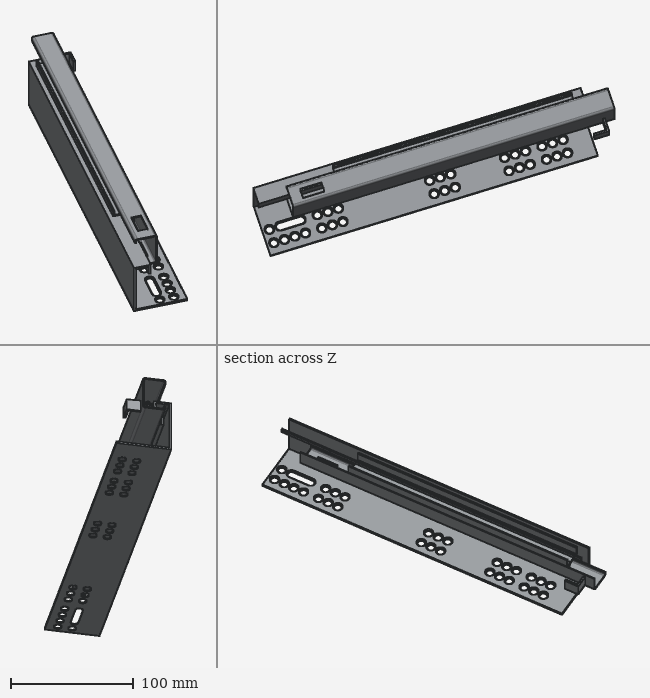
import cadquery as cq
import math


total_length = 300.0
cabinet_left = 20.0
cabinet_length = total_length - cabinet_left
cabinet_depth = 45.5
cabinet_height = 45.3
cabinet_sheet = 1.8
cabinet_flange = 14.5
cabinet_lip = 9.3

hole_diameter = 6.3
sink_diameter = 8.0
sink_depth = 1.0
hole_pitch = 9.0
first_hole_x = 43.0
group_modules = (0, 1, 3, 6, 7)
group_span = 224.0
hole_module = group_span / group_modules[-1]
holes_per_group = 3
back_row_y = cabinet_depth - 9.5
front_row_y = cabinet_depth - 21.5

drawer_length = 274.8
drawer_front = 9.0
drawer_back = 28.0
drawer_top = 53.5
drawer_bottom = 24.3
drawer_sheet = 1.2
drawer_lip = 4.0
drawer_bend = 2.0
rail_mid_z = (drawer_top + drawer_bottom) / 2

window_left = 246.5
window_length = 18.3
window_front = 15.0
window_width = 8.0

bracket_left = 8.5
bracket_length = 12.5
bracket_back = 39.5
bracket_bottom = 26.5
bracket_height = 10.0
bracket_sheet = 1.8

middle_left = 29.0
middle_length = 204.3
middle_sheet = 1.5
middle_back = 21.5
wall_half_height = 9.3
bead_y = 17.0
bead_half_height = 12.0
bead_front = 15.0
flange_half_height = 9.5
upper_lip_front = 3.5
upper_lip_top = 51.5
lower_lip_front = 4.5
lower_lip_top = 38.5


def sheet_outline(points, thickness):
    """Closed outline of a bent sheet: one face runs along points, the other lies to the right of it."""
    normals = []
    for (y0, z0), (y1, z1) in zip(points, points[1:]):
        run = math.hypot(y1 - y0, z1 - z0)
        normals.append(((z1 - z0) / run, (y0 - y1) / run))
    befores = normals[:1] + normals
    afters = normals + normals[-1:]
    other_face = []
    for (y, z), (ay, az), (by, bz) in zip(points, befores, afters):
        mitre = thickness / (1 + ay * by + az * bz)
        other_face.append((y + mitre * (ay + by), z + mitre * (az + bz)))
    return points + other_face[::-1]


def bent_sheet(points, thickness, left, length):
    """Bent sheet running along X from left."""
    outline = sheet_outline(points, thickness)
    return cq.Workplane("YZ", origin=(left, 0, 0)).polyline(outline).close().extrude(length)


def sink_cone(x, y):
    """Conical mouth of a hole, widening up to the top of the base."""
    start = cq.Vector(x, y, cabinet_sheet - sink_depth)
    return cq.Workplane(cq.Solid.makeCone(hole_diameter / 2, sink_diameter / 2, sink_depth, start))


def countersink(x, y):
    """Cutter for one countersunk hole in the base."""
    through = cq.Workplane("XY", origin=(x, y, 0)).circle(hole_diameter / 2).extrude(cabinet_sheet)
    return through.union(sink_cone(x, y))


def countersunk_slot(x0, x1, y):
    """Cutter for a slot with the section of the countersunk holes."""
    slot_length = x1 - x0
    slot_middle = ((x0 + x1) / 2, y, 0)
    through = cq.Workplane("XY", origin=slot_middle).rect(slot_length, hole_diameter).extrude(cabinet_sheet)
    mouth = (
        cq.Workplane("YZ", origin=(x0, y, 0))
        .moveTo(-hole_diameter / 2, cabinet_sheet - sink_depth)
        .lineTo(hole_diameter / 2, cabinet_sheet - sink_depth)
        .lineTo(sink_diameter / 2, cabinet_sheet)
        .lineTo(-sink_diameter / 2, cabinet_sheet)
        .close()
        .extrude(slot_length)
    )
    return through.union(mouth).union(countersink(x0, y)).union(countersink(x1, y))


def make_cabinet_rail():
    path = [
        (cabinet_depth, 0),
        (0, 0),
        (0, cabinet_height),
        (cabinet_flange, cabinet_height),
        (cabinet_flange, cabinet_height - cabinet_lip),
    ]
    rail = bent_sheet(path, cabinet_sheet, cabinet_left, cabinet_length)

    last_group = group_modules[-1]
    for module in group_modules:
        group_x = first_hole_x + module * hole_module
        for index in range(holes_per_group):
            x = group_x + index * hole_pitch
            rail = rail.cut(countersink(x, back_row_y))
            if module != last_group:
                rail = rail.cut(countersink(x, front_row_y))

    slot_left = first_hole_x + last_group * hole_module
    slot_right = slot_left + (holes_per_group - 1) * hole_pitch
    rail = rail.cut(countersunk_slot(slot_left, slot_right, front_row_y))
    for y in (back_row_y, front_row_y):
        rail = rail.cut(countersink(slot_right + hole_pitch, y))
    return rail


def make_drawer_rail():
    path = [
        (drawer_front, drawer_top - drawer_lip),
        (drawer_front, drawer_top),
        (drawer_back, drawer_top),
        (drawer_back, drawer_bottom),
        (drawer_front, drawer_bottom),
        (drawer_front, drawer_bottom + drawer_lip),
    ]
    rail = bent_sheet(path, drawer_sheet, 0, drawer_length)
    for inset, radius in ((0, drawer_bend), (drawer_sheet, drawer_bend - drawer_sheet)):
        for y in (drawer_front + inset, drawer_back - inset):
            for z in (drawer_bottom + inset, drawer_top - inset):
                corner = cq.selectors.NearestToPointSelector((drawer_length / 2, y, z))
                rail = rail.edges("|X").edges(corner).fillet(radius)

    window = (
        cq.Workplane("XY", origin=(window_left, window_front, drawer_bottom))
        .rect(window_length, window_width, centered=False)
        .extrude(drawer_top - drawer_bottom)
    )
    return rail.cut(window).union(make_bracket())


def make_bracket():
    path = [
        (bracket_left, drawer_back),
        (bracket_left, bracket_back),
        (bracket_left + bracket_length, bracket_back),
    ]
    outline = sheet_outline(path, bracket_sheet)
    return cq.Workplane("XY", origin=(0, 0, bracket_bottom)).polyline(outline).close().extrude(bracket_height)


def make_middle_rail():
    flange_top = rail_mid_z + flange_half_height
    flange_bottom = rail_mid_z - flange_half_height
    path = [
        (upper_lip_front + middle_sheet, upper_lip_top),
        (upper_lip_front + middle_sheet, flange_top),
        (bead_front, flange_top),
        (bead_y, rail_mid_z + bead_half_height),
        (middle_back, rail_mid_z + wall_half_height),
        (middle_back, rail_mid_z - wall_half_height),
        (bead_y, rail_mid_z - bead_half_height),
        (bead_front, flange_bottom),
        (lower_lip_front, flange_bottom),
        (lower_lip_front, lower_lip_top),
    ]
    return bent_sheet(path, middle_sheet, middle_left, middle_length)


cabinet_rail = make_cabinet_rail()
drawer_rail = make_drawer_rail()
middle_rail = make_middle_rail()
result = cq.Compound.makeCompound([cabinet_rail.val(), drawer_rail.val(), middle_rail.val()])